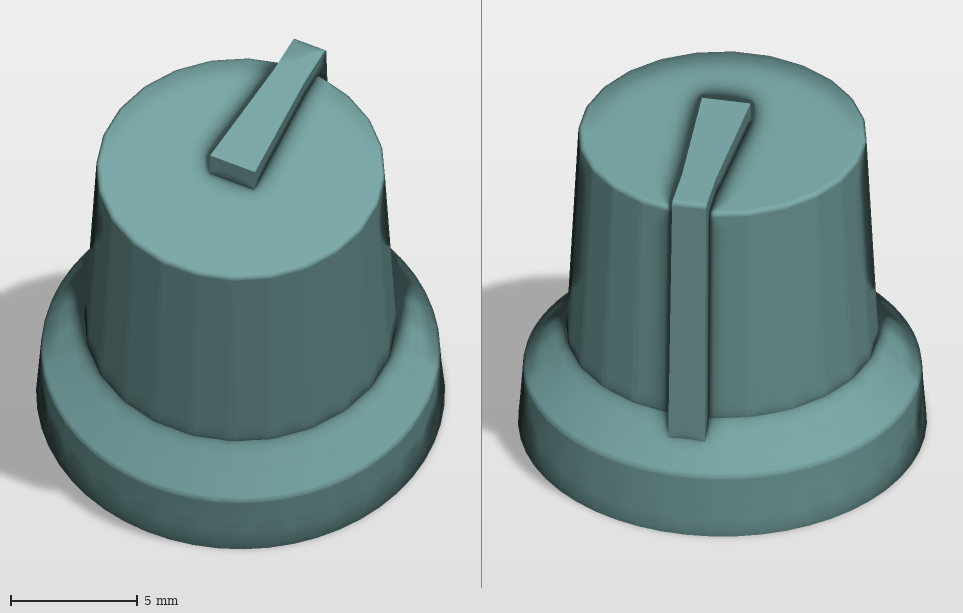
import cadquery as cq
import math

skirt_base_radius = 8.1
rim_radius = 7.9
rim_height = 2.72
rim_rounding = 0.3
shoulder_height = 4.38

flat_count = 24
flat_width = 1.35
grip_base_apothem = 6.15
grip_top_apothem = 5.67
grip_top = 13.9
grip_rounding = 0.2

pointer_base = 3.0
pointer_outer_base = 6.88
pointer_outer_top = 6.37
pointer_inner_base = -0.83
pointer_inner_top = -0.73
pointer_low_top = 14.72
pointer_top = 14.9
pointer_rounding = 0.2
arm_width = 1.5
arm_inner_end = 4.43
wedge_width = 2.13
side_draft = 0.3
plan_overrun = 0.2

shoulder_radius = math.hypot(grip_base_apothem, flat_width / 2)


def make_skirt():
    """Revolved skirt with the rim edge rounded."""
    profile = [
        (0, 0),
        (skirt_base_radius, 0),
        (rim_radius, rim_height),
        (shoulder_radius, shoulder_height),
        (0, shoulder_height),
    ]
    skirt = cq.Workplane("XZ").polyline(profile).close().revolve(360, (0, 0), (0, 1))
    rim_edge = cq.selectors.RadiusNthSelector(1)
    return skirt.edges("%CIRCLE").edges(rim_edge).fillet(rim_rounding)


def grip_section(apothem):
    """Corner points of the barrel section: the two ends of every flat."""
    radius = math.hypot(apothem, flat_width / 2)
    half_angle = math.atan2(flat_width / 2, apothem)
    points = []
    for index in range(flat_count):
        middle = 2 * math.pi * index / flat_count
        for angle in (middle - half_angle, middle + half_angle):
            points.append((radius * math.cos(angle), radius * math.sin(angle)))
    return points


def make_grip():
    """Barrel lofted between its base and top sections, top edge rounded."""
    grip = (
        cq.Workplane("XY", origin=(0, 0, shoulder_height))
        .polyline(grip_section(grip_base_apothem)).close()
        .workplane(offset=grip_top - shoulder_height)
        .polyline(grip_section(grip_top_apothem)).close()
        .loft(ruled=True)
    )
    return grip.faces(">Z").edges().fillet(grip_rounding)


def make_pointer():
    """Plan outline with drafted sides, trimmed to the pointer's side profile."""
    outer = pointer_outer_base + plan_overrun
    inner = pointer_inner_base - plan_overrun
    plan = [
        (-wedge_width / 2, inner),
        (wedge_width / 2, inner),
        (arm_width / 2, arm_inner_end),
        (arm_width / 2, outer),
        (-arm_width / 2, outer),
        (-arm_width / 2, arm_inner_end),
    ]
    body = (
        cq.Workplane("XY", origin=(0, 0, pointer_base))
        .polyline(plan).close()
        .extrude(pointer_top - pointer_base, taper=side_draft)
    )
    profile = [
        (pointer_outer_base, pointer_base),
        (pointer_outer_top, pointer_low_top),
        (pointer_inner_top, pointer_top),
        (pointer_inner_base, grip_top),
        (pointer_inner_base, pointer_base),
    ]
    side = cq.Workplane("YZ").polyline(profile).close().extrude(wedge_width, both=True)
    outer_edge = cq.selectors.NearestToPointSelector((0, pointer_outer_top, pointer_low_top))
    return body.intersect(side).edges("|X").edges(outer_edge).fillet(pointer_rounding)


result = make_skirt().union(make_grip()).union(make_pointer())